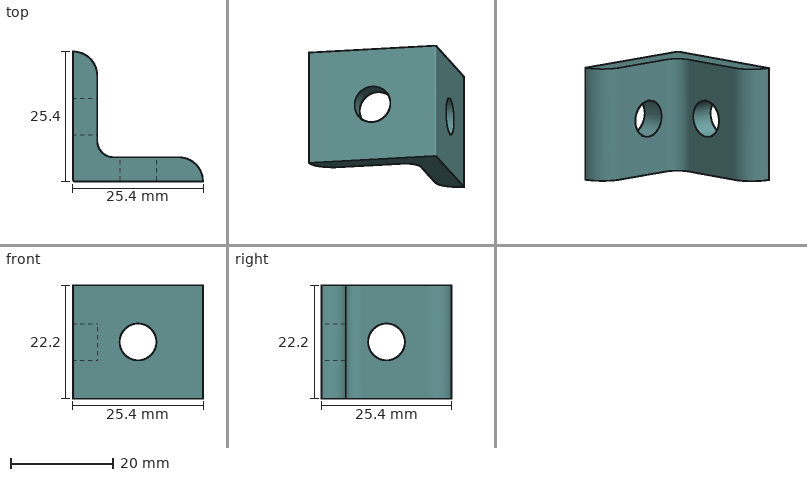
import cadquery as cq

leg_length = 25.4
leg_thickness = 4.7625
bracket_height = 22.225
toe_radius = leg_thickness
inner_fillet_radius = 3.175
heel_radius = 0.4
hole_diameter = 7.14

hole_offset = leg_length / 2
hole_height = bracket_height / 2


def make_angle():
    """Equal-leg angle with its heel at the origin, extruded along Z."""
    straight_end = leg_length - toe_radius
    profile = (
        cq.Workplane("XY")
        .lineTo(leg_length, 0)
        .radiusArc((straight_end, leg_thickness), -toe_radius)
        .lineTo(leg_thickness, leg_thickness)
        .lineTo(leg_thickness, straight_end)
        .radiusArc((0, leg_length), -toe_radius)
        .close()
    )
    return profile.extrude(bracket_height)


def round_upright_edge(body, x, y, radius):
    """Round the vertical edge that passes through (x, y)."""
    edge_point = (x, y, hole_height)
    return body.edges(cq.selectors.NearestToPointSelector(edge_point)).fillet(radius)


def make_leg_hole(center, direction):
    """Cylinder that drills through one leg, starting at its outer face."""
    return cq.Workplane(
        cq.Solid.makeCylinder(
            hole_diameter / 2, leg_thickness, cq.Vector(*center), cq.Vector(*direction)
        )
    )


result = make_angle()
result = round_upright_edge(result, leg_thickness, leg_thickness, inner_fillet_radius)
result = round_upright_edge(result, 0, 0, heel_radius)
result = result.cut(make_leg_hole((hole_offset, 0, hole_height), (0, 1, 0)))
result = result.cut(make_leg_hole((0, hole_offset, hole_height), (1, 0, 0)))